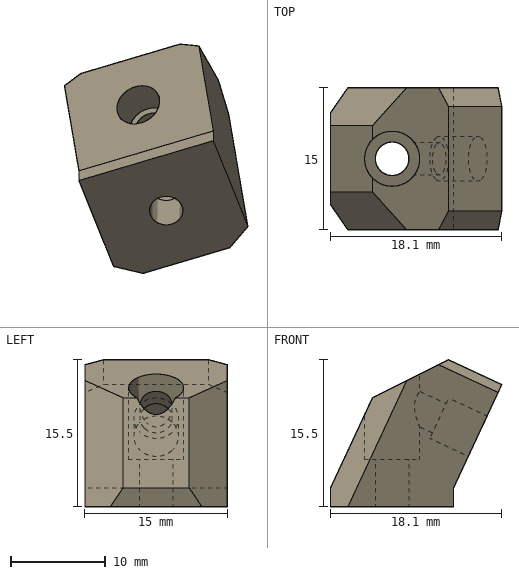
import cadquery as cq
import math

length = 18.07
width = 15.0
height = 15.52

lean = math.radians(25)
base_length = 13.0
foot_height = 2.0
front_run = 4.43

front_chamfer_depth = 2.51
front_chamfer_width = 4.01
top_chamfer_depth = 0.92
top_chamfer_width = 1.97

screw_x = 6.5
screw_diameter = 3.5
screw_head_diameter = 5.8
screw_seat_z = 5.0

cross_diameter = 3.4
cross_bore_diameter = 4.7
cross_bore_depth = 4.48

across = cq.Vector(math.cos(lean), 0, -math.sin(lean))
along = cq.Vector(math.sin(lean), 0, math.cos(lean))

front_foot = cq.Vector(0, 0, foot_height)
front_shoulder = cq.Vector(front_run, 0, foot_height + front_run / math.tan(lean))
back_foot = cq.Vector(base_length, 0, foot_height)
back_top = cq.Vector(length, 0, foot_height + (length - base_length) / math.tan(lean))
peak = cq.Vector(length - (height - back_top.z) / math.tan(lean), 0, height)

reach = 2 * length


def make_body():
    corners = [front_foot, front_shoulder, peak, back_top, back_foot]
    outline = [(0, 0)] + [(corner.x, corner.z) for corner in corners] + [(base_length, 0)]
    return cq.Workplane("XZ").polyline(outline).close().extrude(width / 2, both=True)


def make_front_chamfers():
    """Wedges running along the lean at both front corners."""
    face = front_foot.dot(across)
    wedges = cq.Workplane(cq.Plane((0, 0, 0), (across.x, 0, across.z), along))
    for side in (-1, 1):
        edge = side * width / 2
        wedges = wedges.polyline([
            (face, edge),
            (face + front_chamfer_depth, edge),
            (face, edge - side * front_chamfer_width),
        ]).close()
    return wedges.extrude(reach, both=True)


def make_top_chamfers():
    """Wedges along both side edges of the top face, square to the lean."""
    face = back_top.dot(along)
    wedges = cq.Workplane(cq.Plane((0, 0, 0), (0, 1, 0), across))
    for side in (-1, 1):
        edge = side * width / 2
        wedges = wedges.polyline([
            (edge, face),
            (edge, face - top_chamfer_depth),
            (edge - side * top_chamfer_width, face),
        ]).close()
    return wedges.extrude(reach, both=True)


def make_screw_hole():
    shank = cq.Workplane("XY").center(screw_x, 0).circle(screw_diameter / 2).extrude(height)
    head = (
        cq.Workplane("XY", origin=(0, 0, screw_seat_z))
        .center(screw_x, 0)
        .circle(screw_head_diameter / 2)
        .extrude(height)
    )
    return shank.union(head)


def make_cross_hole():
    """Stepped hole from the middle of the back face to the screw hole axis."""
    mouth = (back_foot + back_top) * 0.5
    depth = (mouth.x - screw_x) / across.x
    start = cq.Workplane(cq.Plane(mouth, (0, 1, 0), across * -1))
    hole = start.circle(cross_diameter / 2).extrude(depth)
    bore = start.circle(cross_bore_diameter / 2).extrude(cross_bore_depth)
    return hole.union(bore)


result = (
    make_body()
    .cut(make_front_chamfers())
    .cut(make_top_chamfers())
    .cut(make_screw_hole())
    .cut(make_cross_hole())
)